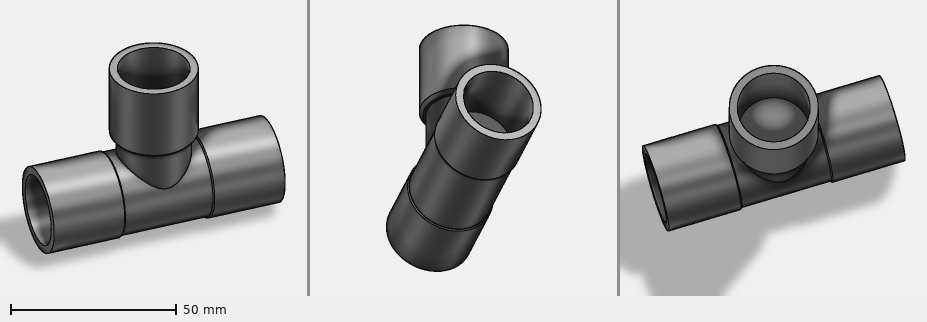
import cadquery as cq

RUN_LENGTH = 75.0
BRANCH_HEIGHT = 43.0
SOCKET_DIAMETER = 27.0
BORE_DIAMETER = 22.0
RUN_DIAMETER = 26.0
NECK_DIAMETER = 23.0

RUN_SOCKET_LENGTH = 23.3
BRANCH_SOCKET_LENGTH = 23.9
RUN_CHAMFER = 0.4
BRANCH_CHAMFER = 1.15
BORE_DEPTH = 23.0

BRANCH_DIRECTION = cq.Vector(0, 0, 1)
RUN_DIRECTIONS = [cq.Vector(0, -1, 0), cq.Vector(0, 1, 0)]


def arm_plane(direction, distance):
    """Plane across an arm, facing outward, at a distance from the pipe crossing."""
    return cq.Plane(origin=direction * distance, xDir=(1, 0, 0), normal=direction)


def pipe_arm(direction, reach, pipe_diameter, socket_length, chamfer):
    """Solid pipe from the crossing, ending in a socket with a chamfered inner edge."""
    pipe = cq.Workplane(arm_plane(direction, 0)).circle(pipe_diameter / 2).extrude(reach)
    socket = (
        cq.Workplane(arm_plane(direction, reach))
        .circle(SOCKET_DIAMETER / 2)
        .extrude(-socket_length)
        .faces(cq.selectors.DirectionMinMaxSelector(direction, False))
        .chamfer(chamfer)
    )
    return pipe.union(socket)


def socket_bore(direction, reach):
    """Blind bore entering at the mouth of a socket."""
    return cq.Workplane(arm_plane(direction, reach)).circle(BORE_DIAMETER / 2).extrude(-BORE_DEPTH)


body = pipe_arm(BRANCH_DIRECTION, BRANCH_HEIGHT, NECK_DIAMETER, BRANCH_SOCKET_LENGTH, BRANCH_CHAMFER)
for run_direction in RUN_DIRECTIONS:
    body = body.union(
        pipe_arm(run_direction, RUN_LENGTH / 2, RUN_DIAMETER, RUN_SOCKET_LENGTH, RUN_CHAMFER)
    )

body = body.cut(socket_bore(BRANCH_DIRECTION, BRANCH_HEIGHT))
for run_direction in RUN_DIRECTIONS:
    body = body.cut(socket_bore(run_direction, RUN_LENGTH / 2))

result = body.clean()